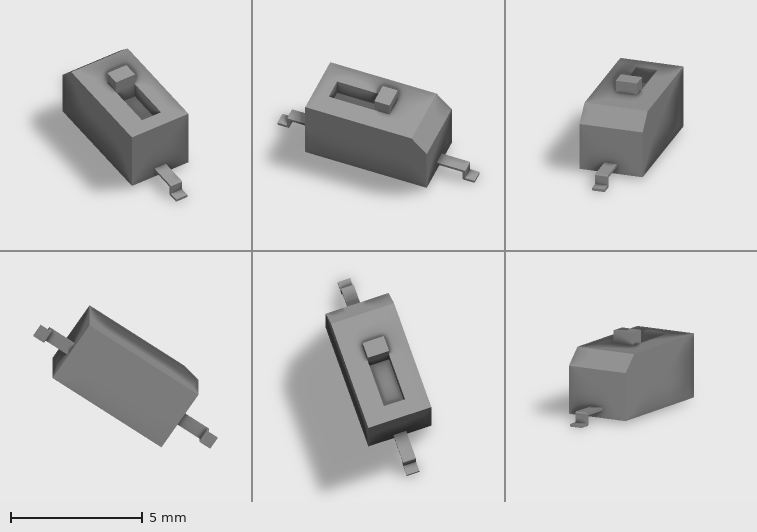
import cadquery as cq

overall_length = 8.12

housing_length = 5.0
housing_width = 2.54
housing_height = 2.5
housing_standoff = 0.1
housing_top = housing_standoff + housing_height
chamfer = housing_height / 4

slot_length = housing_length / 2
slot_width = 0.85
slot_depth = 0.625
slot_start = -slot_length / 4
slot_floor = housing_top - slot_depth
slider_length = slot_length / 4
slider_projection = 0.5

lead_thickness = 0.105
lead_width = 0.51
lead_height = 0.51
foot_length = 0.495
bend_radius = 0.05


def make_housing():
    """Block with one top edge chamfered at the -X end and a blind slot in its top."""
    block = (
        cq.Workplane("XY", origin=(0, 0, housing_standoff))
        .box(housing_length, housing_width, housing_height, centered=(True, True, False))
        .faces("<X")
        .edges(">Z")
        .chamfer(chamfer)
    )
    slot = cq.Workplane("XY", origin=(slot_start, 0, slot_floor)).box(
        slot_length, slot_width, slot_depth, centered=(False, True, False)
    )
    return block.cut(slot)


def make_slider():
    """Rectangular actuator that stands on the slot floor and fills the slot width."""
    return cq.Workplane("XY", origin=(slot_start, 0, slot_floor)).box(
        slider_length, slot_width, slot_depth + slider_projection, centered=(False, True, False)
    )


def make_lead(side):
    """Z-shaped strip from the housing end face to its foot; side is -1 or +1 along X."""
    root = side * housing_length / 2
    tip = side * overall_length / 2
    heel = tip - side * foot_length
    shank = heel + side * lead_thickness
    underside = lead_height - lead_thickness
    strip = (
        cq.Workplane("XZ")
        .polyline(
            [
                (root, lead_height),
                (shank, lead_height),
                (shank, lead_thickness),
                (tip, lead_thickness),
                (tip, 0),
                (heel, 0),
                (heel, underside),
                (root, underside),
            ]
        )
        .close()
        .extrude(lead_width / 2, both=True)
    )
    upper_bend = cq.selectors.NearestToPointSelector((shank, 0, lead_height))
    lower_bend = cq.selectors.NearestToPointSelector((heel, 0, 0))
    return strip.edges("|Y").edges(upper_bend + lower_bend).fillet(bend_radius)


housing = make_housing()
slider = make_slider()
leads = [make_lead(side) for side in (-1, 1)]

result = cq.Compound.makeCompound([housing.val(), slider.val(), *[lead.val() for lead in leads]])